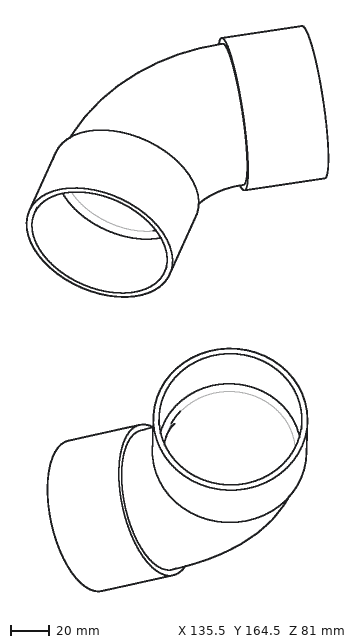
import cadquery as cq
import math

SOCKET_OUTER_DIA = 81.0
SOCKET_BORE_DIA = 75.0
SOCKET_LENGTH = 43.0
BEND_OUTER_DIA = 75.0
BEND_BORE_DIA = 69.0
BEND_RADIUS = 75.0
BEND_ANGLE = 60.0

STOP_ROUND_RADIUS = (SOCKET_BORE_DIA - BEND_BORE_DIA) / 2

bend_angle_rad = math.radians(BEND_ANGLE)
BEND_START = (0, 0, 0)
BEND_END = (
    BEND_RADIUS * (1 - math.cos(bend_angle_rad)),
    BEND_RADIUS * math.sin(bend_angle_rad),
    0,
)
INLET_DIRECTION = (0, -1, 0)
OUTLET_DIRECTION = (math.sin(bend_angle_rad), math.cos(bend_angle_rad), 0)


def bend(diameter):
    """Solid torus segment from BEND_START to BEND_END, turned about an axis parallel to Z."""
    axis_start = (BEND_RADIUS, 1)
    axis_end = (BEND_RADIUS, 0)
    return cq.Workplane("XZ").circle(diameter / 2).revolve(BEND_ANGLE, axis_start, axis_end)


def socket_body(start, direction):
    """Solid cylinder of one socket, growing outward from an end of the bend."""
    end_plane = cq.Plane(start, normal=direction)
    return cq.Workplane(end_plane).circle(SOCKET_OUTER_DIA / 2).extrude(SOCKET_LENGTH)


def socket_bore(start, direction):
    """Socket bore with a pipe-stop shoulder rounded smoothly into the bend bore."""
    end_plane = cq.Plane(start, normal=direction)
    straight = (
        cq.Workplane(end_plane)
        .workplane(offset=STOP_ROUND_RADIUS)
        .circle(SOCKET_BORE_DIA / 2)
        .extrude(SOCKET_LENGTH - STOP_ROUND_RADIUS)
    )
    radial_direction = cq.Vector(0, 0, 1)
    section_normal = radial_direction.cross(cq.Vector(*direction))
    flare = (
        cq.Workplane(cq.Plane(start, xDir=radial_direction, normal=section_normal))
        .lineTo(BEND_BORE_DIA / 2, 0)
        .radiusArc((SOCKET_BORE_DIA / 2, STOP_ROUND_RADIUS), STOP_ROUND_RADIUS)
        .lineTo(0, STOP_ROUND_RADIUS)
        .close()
        .revolve(360, (0, 0), (0, 1))
    )
    return flare.union(straight)


outside = bend(BEND_OUTER_DIA)
inside = bend(BEND_BORE_DIA)
for start, direction in ((BEND_START, INLET_DIRECTION), (BEND_END, OUTLET_DIRECTION)):
    outside = outside.union(socket_body(start, direction))
    inside = inside.union(socket_bore(start, direction))

result = outside.cut(inside)